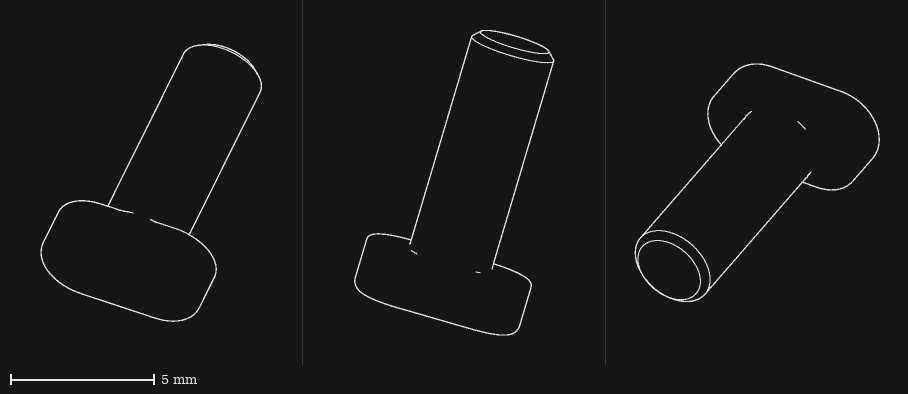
import cadquery as cq

total_length = 10.0
head_width = 6.0
head_height = 3.2
head_thickness = 2.0
shank_diameter = 3.0

front_edge_radius = 0.4
back_edge_radius = 0.2
neck_radius = 0.1
tip_chamfer = 0.25

tolerance = 0.0001


def make_head():
    """Obround head with its rounded front face at Y = 0."""
    profile = cq.Workplane("XZ").slot2D(head_width, head_height)
    return profile.extrude(-head_thickness).faces("<Y").edges().fillet(front_edge_radius)


def make_shank():
    """Round shank from the back of the head to the chamfered tip."""
    base = cq.Workplane("XZ", origin=(0, head_thickness, 0)).circle(shank_diameter / 2)
    return base.extrude(head_thickness - total_length).faces(">Y").edges().chamfer(tip_chamfer)


def is_neck_edge(edge):
    """True for the circle where the shank meets the head."""
    return edge.geomType() == "CIRCLE" and abs(edge.radius() - shank_diameter / 2) < tolerance


def edges_on_head_back(solid):
    """Edges lying wholly in the plane of the head's back face."""
    edges = []
    for edge in solid.Edges():
        box = edge.BoundingBox()
        if max(abs(box.ymin - head_thickness), abs(box.ymax - head_thickness)) < tolerance:
            edges.append(edge)
    return edges


def round_neck_and_back(solid):
    """Round the neck first, so that the back rounding blends into it above and below the shank."""
    neck_edges = [edge for edge in edges_on_head_back(solid) if is_neck_edge(edge)]
    with_neck = solid.fillet(neck_radius, neck_edges)
    return with_neck.fillet(back_edge_radius, edges_on_head_back(with_neck))


bolt = make_head().union(make_shank())
result = cq.Workplane(round_neck_and_back(bolt.val()))